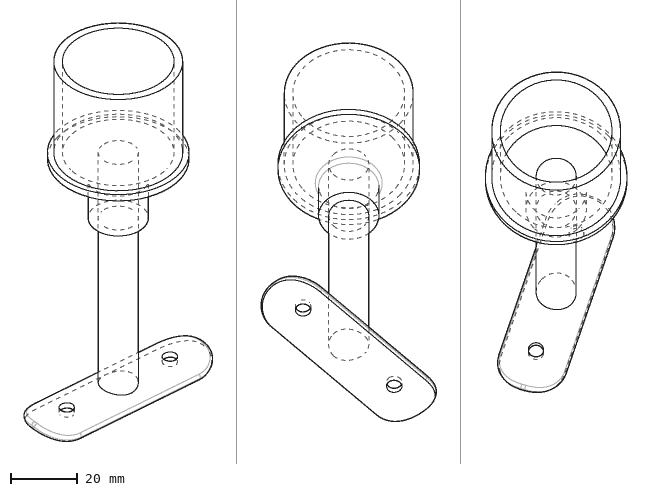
import cadquery as cq
import math

plate_length = 66.0
plate_inner_radius = 20.0
plate_thickness = 2.0
plate_half_angle = 29.7
plate_corner_radius = 9.9
plate_edge_radius = 1.0
screw_hole_diameter = 4.6
screw_hole_spacing = 40.1

stem_diameter = 12.0

total_height = 123.6
socket_outer_diameter = 38.6
socket_inner_diameter = 33.4
flange_diameter = 42.4
flange_top = 89.8
flange_thickness = 2.3
cone_angle = 30.0
collar_diameter = 18.0
collar_bottom = 65.4
collar_fillet_radius = 2.0

half_angle = math.radians(plate_half_angle)
plate_outer_radius = plate_inner_radius + plate_thickness
arch_axis_z = -plate_inner_radius * math.cos(half_angle)
crown_z = arch_axis_z + plate_outer_radius
flange_bottom = flange_top - flange_thickness
socket_floor = flange_top
cone_run = (flange_diameter - collar_diameter) / 2
cone_bottom = flange_bottom - cone_run * math.tan(math.radians(cone_angle))


def arch_point(radius, angle):
    """XZ point at a radius and an angle from the crown of the arch."""
    return (radius * math.sin(angle), arch_axis_z + radius * math.cos(angle))


def make_corner_waste():
    """The four pieces outside the plate's rounded corners.

    Each corner rounds about an axis parallel to the nearby radial side wall.
    """
    radius = plate_corner_radius
    plate_end = plate_length / 2
    corner = (
        cq.Workplane("XY")
        .moveTo(0, plate_end - radius)
        .radiusArc((-radius, plate_end), -radius)
        .lineTo(0, plate_end)
        .close()
        .extrude(plate_outer_radius)
        .rotate((0, 0, 0), (0, 1, 0), plate_half_angle)
        .translate((0, 0, arch_axis_z))
    )
    corner_pair = [corner, corner.mirror("YZ")]
    return corner_pair + [waste.mirror("XZ") for waste in corner_pair]


def make_plate():
    plate = (
        cq.Workplane("XZ")
        .moveTo(*arch_point(plate_inner_radius, -half_angle))
        .threePointArc(arch_point(plate_inner_radius, 0), arch_point(plate_inner_radius, half_angle))
        .lineTo(*arch_point(plate_outer_radius, half_angle))
        .threePointArc(arch_point(plate_outer_radius, 0), arch_point(plate_outer_radius, -half_angle))
        .close()
        .extrude(plate_length / 2, both=True)
    )
    for waste in make_corner_waste():
        plate = plate.cut(waste)
    outer_face = cq.selectors.NearestToPointSelector((0, 0, crown_z))
    plate = plate.faces(outer_face).edges().fillet(plate_edge_radius)
    holes = (
        cq.Workplane("XY")
        .pushPoints([(0, -screw_hole_spacing / 2), (0, screw_hole_spacing / 2)])
        .circle(screw_hole_diameter / 2)
        .extrude(crown_z)
    )
    return plate.cut(holes)


def make_stem():
    stem = cq.Workplane("XY").circle(stem_diameter / 2).extrude(socket_floor)
    arch = (
        cq.Workplane("XZ")
        .center(0, arch_axis_z)
        .circle(plate_outer_radius)
        .extrude(plate_length / 2, both=True)
    )
    return stem.cut(arch)


def make_cup():
    profile = [
        (stem_diameter / 2, collar_bottom),
        (collar_diameter / 2, collar_bottom),
        (collar_diameter / 2, cone_bottom),
        (flange_diameter / 2, flange_bottom),
        (flange_diameter / 2, flange_top),
        (socket_outer_diameter / 2, flange_top),
        (socket_outer_diameter / 2, total_height),
        (socket_inner_diameter / 2, total_height),
        (socket_inner_diameter / 2, socket_floor),
        (stem_diameter / 2, socket_floor),
    ]
    cup = cq.Workplane("XZ").polyline(profile).close().revolve(360, (0, 0), (0, 1))
    reach = collar_diameter / 2
    collar_top_edge = cq.selectors.BoxSelector(
        (-reach, -reach, cone_bottom - collar_fillet_radius),
        (reach, reach, cone_bottom + collar_fillet_radius),
    )
    return cup.edges("%CIRCLE").edges(collar_top_edge).fillet(collar_fillet_radius)


plate = make_plate()
stem = make_stem()
cup = make_cup()

result = cq.Compound.makeCompound([plate.val(), stem.val(), cup.val()])